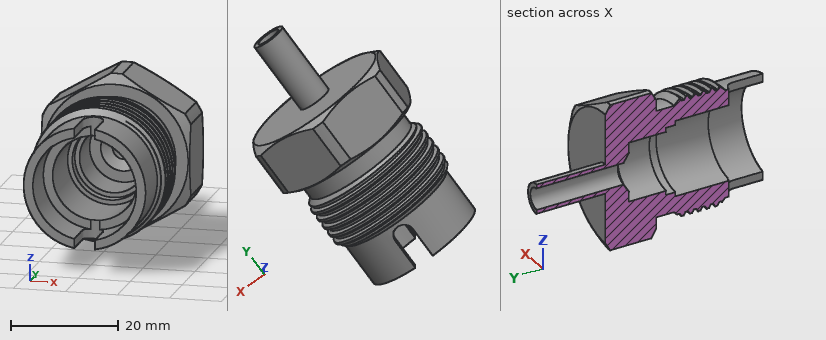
import cadquery as cq
import math

LENGTH = 49.8
THREAD_START = 9.15
THREAD_END = 20.25
HEX_START = 24.0
HEX_END = 35.0

BARREL_RADIUS = 11.75
NECK_RADIUS = 11.65
STEM_RADIUS = 3.25

HEX_SIDES = 6
HEX_ACROSS_FLATS = 28.55
HEX_CORNER_RADIUS = 15.9
HEX_FACE_RADIUS = 14.05
HEX_CHAMFER_ANGLE = 30.0

CREST_RADIUS = 13.0
ROOT_RADIUS = 12.3
CREST_WIDTH = 0.5
FLANK_ANGLE = 30.0
GROOVE_TURNS = 7
GROOVE_START = 7.95
GROOVE_LENGTH = 12.65
PITCH = GROOVE_LENGTH / GROOVE_TURNS
CUTTER_CLEARANCE = 0.2

MOUTH = (9.95, 8.2)
MAIN_BORE = (8.15, 19.9)
SEAT = (7.25, 21.9)
INNER_BORE = (6.35, 29.85)
FUNNEL_RADIUS = 4.25
FUNNEL_ANGLE = 59.0
PASSAGE_RADIUS = 2.3

SLOT_WIDTH = 4.0
SLOT_DEPTH = 8.4


def revolve_about_y(points):
    """Solid of revolution about Y from (radius, y) points."""
    return cq.Workplane("XY").polyline(points).close().revolve(360, (0, 0, 0), (0, 1, 0))


def make_shell():
    """Barrel, thread blank, neck and stem as one turned shape."""
    front_lead = CREST_RADIUS - BARREL_RADIUS
    rear_lead = CREST_RADIUS - NECK_RADIUS
    return revolve_about_y([
        (0, 0),
        (BARREL_RADIUS, 0),
        (BARREL_RADIUS, THREAD_START),
        (CREST_RADIUS, THREAD_START + front_lead),
        (CREST_RADIUS, THREAD_END - rear_lead),
        (NECK_RADIUS, THREAD_END),
        (NECK_RADIUS, HEX_START),
        (STEM_RADIUS, HEX_START),
        (STEM_RADIUS, LENGTH),
        (0, LENGTH),
    ])


def make_hex_collar():
    """Hexagon with flats on +X and -X, trimmed by a double-chamfered disc."""
    half_side_angle = 180 / HEX_SIDES
    across_corners = HEX_ACROSS_FLATS / math.cos(math.radians(half_side_angle))
    prism = (
        cq.Workplane("XZ", origin=(0, HEX_END, 0))
        .transformed(rotate=(0, 0, half_side_angle))
        .polygon(HEX_SIDES, across_corners)
        .extrude(HEX_END - HEX_START)
    )
    chamfer = (HEX_CORNER_RADIUS - HEX_FACE_RADIUS) * math.tan(math.radians(HEX_CHAMFER_ANGLE))
    disc = revolve_about_y([
        (0, HEX_START),
        (HEX_FACE_RADIUS, HEX_START),
        (HEX_CORNER_RADIUS, HEX_START + chamfer),
        (HEX_CORNER_RADIUS, HEX_END - chamfer),
        (HEX_FACE_RADIUS, HEX_END),
        (0, HEX_END),
    ])
    return prism.intersect(disc)


def make_groove_turn():
    """One turn of the trapezoidal thread groove, starting on the +X side."""
    outer_radius = CREST_RADIUS + CUTTER_CLEARANCE
    flank_slope = math.tan(math.radians(FLANK_ANGLE))
    crest_half = (PITCH - CREST_WIDTH) / 2
    root_half = crest_half - (CREST_RADIUS - ROOT_RADIUS) * flank_slope
    outer_half = crest_half + CUTTER_CLEARANCE * flank_slope
    helix = cq.Wire.makeHelix(PITCH, PITCH, ROOT_RADIUS)
    groove = (
        cq.Workplane("XZ")
        .polyline([
            (ROOT_RADIUS, -root_half),
            (outer_radius, -outer_half),
            (outer_radius, outer_half),
            (ROOT_RADIUS, root_half),
        ])
        .close()
        .sweep(cq.Workplane(helix), isFrenet=True)
    )
    return groove.rotate((0, 0, 0), (1, 0, 0), -90).translate((0, GROOVE_START, 0))


def cut_thread(blank):
    """Cut the groove turn by turn; its first and last turns run out past the leads."""
    turn = make_groove_turn()
    for index in range(GROOVE_TURNS):
        blank = blank.cut(turn.translate((0, index * PITCH, 0)))
    return blank


def make_bore():
    """Stepped bore that narrows through a conical funnel to the stem passage."""
    funnel_depth = (FUNNEL_RADIUS - PASSAGE_RADIUS) / math.tan(math.radians(FUNNEL_ANGLE))
    points = [(0, 0)]
    step_start = 0
    for radius, step_end in (MOUTH, MAIN_BORE, SEAT, INNER_BORE):
        points += [(radius, step_start), (radius, step_end)]
        step_start = step_end
    points += [
        (FUNNEL_RADIUS, step_start),
        (PASSAGE_RADIUS, step_start + funnel_depth),
        (PASSAGE_RADIUS, LENGTH),
        (0, LENGTH),
    ]
    return revolve_about_y(points)


def make_slots():
    """One round-ended cutter along Z that opens both slots."""
    half_width = SLOT_WIDTH / 2
    straight_end = SLOT_DEPTH - half_width
    return (
        cq.Workplane("XY")
        .moveTo(-half_width, 0)
        .lineTo(half_width, 0)
        .lineTo(half_width, straight_end)
        .threePointArc((0, SLOT_DEPTH), (-half_width, straight_end))
        .close()
        .extrude(BARREL_RADIUS, both=True)
    )


result = (
    cut_thread(make_shell())
    .union(make_hex_collar())
    .cut(make_bore())
    .cut(make_slots())
)